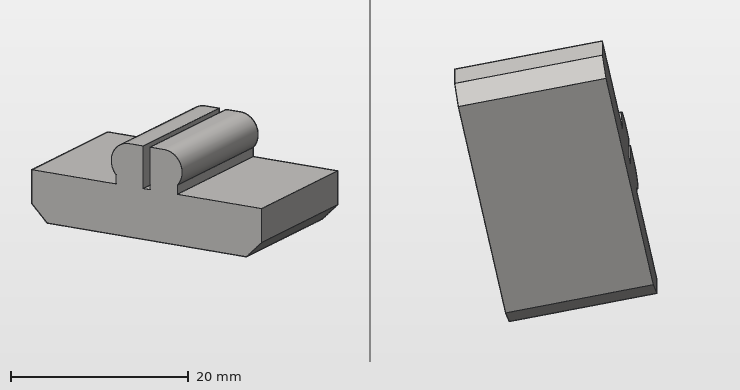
import cadquery as cq
import math

base_width = 30.0
depth = 17.0
base_height = 6.0
chamfer = 2.0

total_height = 11.0
bead_width = 9.25
bead_radius = 2.35
neck_width = 7.98
slot_width = 0.9

bead_center_x = bead_width / 2 - bead_radius
bead_center_z = total_height - bead_radius
neck_half = neck_width / 2
neck_top_z = bead_center_z - math.sqrt(bead_radius**2 - (neck_half - bead_center_x) ** 2)


def extrude_along_y(outline):
    return outline.close().extrude(depth / 2, both=True)


def make_base():
    half = base_width / 2
    outline = cq.Workplane("XZ").polyline([
        (-half + chamfer, 0),
        (half - chamfer, 0),
        (half, chamfer),
        (half, base_height),
        (-half, base_height),
        (-half, chamfer),
    ])
    return extrude_along_y(outline)


def make_bead_half():
    """Right half of the bead, from the slot wall to the rounded side."""
    outline = (
        cq.Workplane("XZ")
        .moveTo(slot_width / 2, base_height)
        .lineTo(neck_half, base_height)
        .lineTo(neck_half, neck_top_z)
        .threePointArc((bead_width / 2, bead_center_z), (bead_center_x, total_height))
        .lineTo(slot_width / 2, total_height)
    )
    return extrude_along_y(outline)


bead_half = make_bead_half()
result = make_base().union(bead_half).union(bead_half.mirror("YZ"))